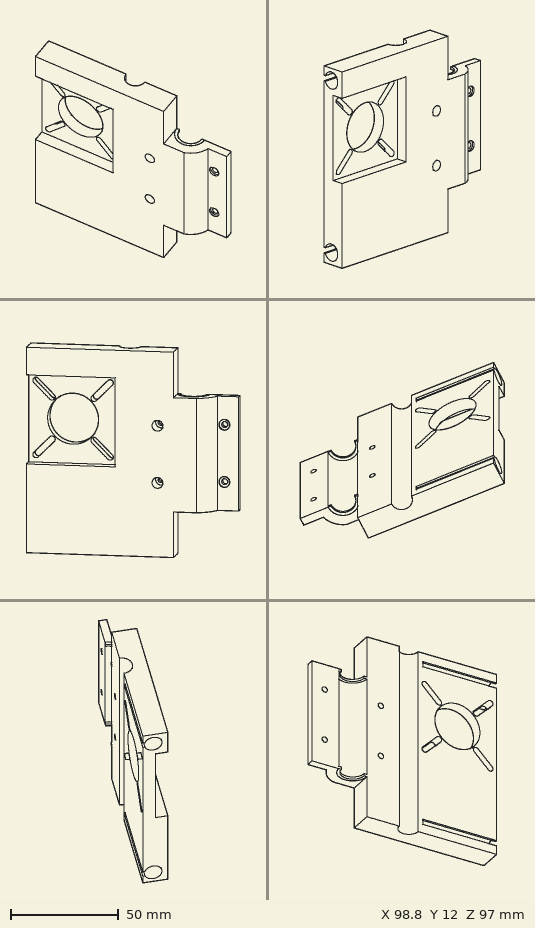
import cadquery as cq
import math

total_width = 98.8
plate_width = 69.5
plate_height = 97.0
thickness = 12.0
mid_z = plate_height / 2
overcut = 1.0

tab_height = 54.0
flange_thickness = 4.0
housing_radius = 12.5
bearing_radius = 7.5
lip_radius = 6.0
lip_length = 1.2
lip_recess = 0.1
bearing_x = plate_width + bearing_radius

groove_x = 47.0
groove_radius = 5.0

pocket_size = 42.0
pocket_depth = 5.8
pocket_top_margin = 13.0
pilot_diameter = 24.0
slot_width = 3.0
slot_inner_offset = 10.0
slot_outer_offset = 17.5
motor_x = pocket_size / 2
motor_z = plate_height - pocket_top_margin - pocket_size / 2

rod_diameter = 8.3
rod_depth = 39.5
rod_edge_distance = 6.0
rod_back_distance = 4.9
slit_width = 2.8

screw_diameter = 2.8
screw_head_diameter = 5.0
screw_spacing_x = 30.0
screw_spacing_z = 27.0
screw_seat_thickness = 3.0


def box(x_min, x_max, y_min, y_max, z_min, z_max):
    size = (x_max - x_min, y_max - y_min, z_max - z_min)
    return cq.Workplane("XY").box(*size, centered=False).translate((x_min, y_min, z_min))


def y_cylinder(x, z, diameter, y_min, y_max):
    axis = cq.Vector(0, 1, 0)
    solid = cq.Solid.makeCylinder(diameter / 2, y_max - y_min, cq.Vector(x, y_min, z), axis)
    return cq.Workplane(solid)


def back_groove(x, radius, z_min, z_max):
    """Half-round channel centred on the back face and running along Z."""
    return cq.Workplane("XY", origin=(x, thickness, z_min)).circle(radius).extrude(z_max - z_min)


def bearing_tab():
    """Tab whose front curves around the bearing and ends in a thin flange."""
    flange_y = thickness - flange_thickness
    arc_start_x = bearing_x + math.sqrt(housing_radius**2 - thickness**2)
    arc_end_x = bearing_x + math.sqrt(housing_radius**2 - flange_thickness**2)
    mid_offset = housing_radius / math.sqrt(2)
    return (
        cq.Workplane("XY", origin=(0, 0, mid_z - tab_height / 2))
        .moveTo(plate_width, 0)
        .lineTo(arc_start_x, 0)
        .threePointArc((bearing_x + mid_offset, thickness - mid_offset), (arc_end_x, flange_y))
        .lineTo(total_width, flange_y)
        .lineTo(total_width, thickness)
        .lineTo(plate_width, thickness)
        .close()
        .extrude(tab_height)
    )


def bearing_seat():
    """Half-round seat between two narrower lips, each set slightly in from its end of the tab."""
    tab_bottom = mid_z - tab_height / 2
    tab_top = mid_z + tab_height / 2
    seat_inset = lip_recess + lip_length
    seat = back_groove(bearing_x, bearing_radius, tab_bottom + seat_inset, tab_top - seat_inset)
    seat = seat.union(back_groove(bearing_x, lip_radius, tab_bottom, tab_top))
    for recess_bottom in (tab_bottom, tab_top - lip_recess):
        recess_top = recess_bottom + lip_recess
        seat = seat.union(back_groove(bearing_x, bearing_radius, recess_bottom, recess_top))
    return seat


def motor_mount():
    """Pocket open on the -X side, pilot hole and four diagonal slots."""
    half = pocket_size / 2
    cut = box(-overcut, pocket_size, -overcut, pocket_depth, motor_z - half, motor_z + half)
    cut = cut.union(y_cylinder(motor_x, motor_z, pilot_diameter, 0, thickness + overcut))
    slot_run = math.sqrt(2) * (slot_outer_offset - slot_inner_offset)
    slot_middle = math.sqrt(2) * (slot_outer_offset + slot_inner_offset) / 2
    for angle in (45, 135, 225, 315):
        slot = (
            cq.Workplane("XZ")
            .center(slot_middle, 0)
            .slot2D(slot_run + slot_width, slot_width)
            .extrude(-(thickness + overcut))
            .rotate((0, 0, 0), (0, 1, 0), angle)
            .translate((motor_x, 0, motor_z))
        )
        cut = cut.union(slot)
    return cut


def rod_socket(z):
    """Blind round socket along X with a slit through to the back face."""
    rod_y = thickness - rod_back_distance
    bore = cq.Workplane("YZ", origin=(0, rod_y, z)).circle(rod_diameter / 2).extrude(rod_depth)
    half_slit = slit_width / 2
    slit = box(0, rod_depth, rod_y, thickness + overcut, z - half_slit, z + half_slit)
    return bore.union(slit)


def screw_hole(x, z, seat_thickness):
    """Through hole with a screw-head counterbore from the front."""
    hole = y_cylinder(x, z, screw_diameter, 0, thickness + overcut)
    head = y_cylinder(x, z, screw_head_diameter, -overcut, thickness - seat_thickness)
    return hole.union(head)


result = box(0, plate_width, 0, thickness, 0, plate_height).union(bearing_tab())
result = result.cut(back_groove(groove_x, groove_radius, 0, plate_height))
result = result.cut(bearing_seat())
result = result.cut(motor_mount())
for rod_z in (rod_edge_distance, plate_height - rod_edge_distance):
    result = result.cut(rod_socket(rod_z))
for side_x in (-1, 1):
    for side_z in (-1, 1):
        screw_x = bearing_x + side_x * screw_spacing_x / 2
        screw_z = mid_z + side_z * screw_spacing_z / 2
        result = result.cut(screw_hole(screw_x, screw_z, screw_seat_thickness))